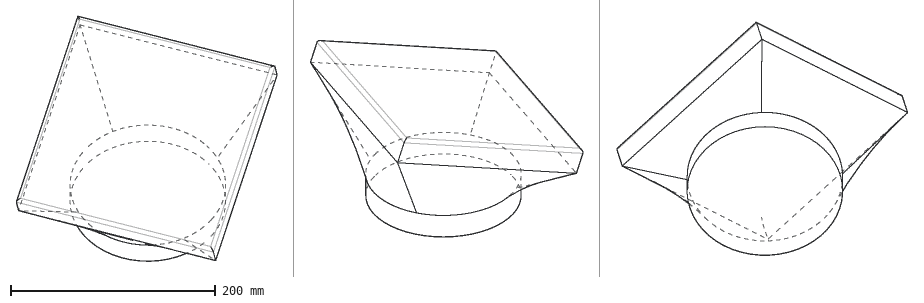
import cadquery as cq
import math

plate_side = 203.2
plate_thickness = 26.0
plate_tilt = 18.2
plate_base_height = 90.0
rim_radius = 3.7

collar_radius = 76.2
collar_height = 25.0

tilt_angle = math.radians(plate_tilt)
plate_plane = cq.Plane(
    origin=(0, 0, plate_base_height),
    xDir=(1, 0, 0),
    normal=(0, -math.sin(tilt_angle), math.cos(tilt_angle)),
)


def make_collar():
    """Plain round disc standing on the XY plane."""
    return cq.Workplane("XY").circle(collar_radius).extrude(collar_height)


def make_plate():
    """Tilted square plate with a rounded upper rim."""
    return (
        cq.Workplane(plate_plane)
        .rect(plate_side, plate_side)
        .extrude(plate_thickness)
        .faces(cq.selectors.DirectionMinMaxSelector(plate_plane.zDir, True))
        .edges()
        .fillet(rim_radius)
    )


def collar_point(degrees):
    """Point on the collar's upper edge."""
    angle = math.radians(degrees)
    return cq.Vector(collar_radius * math.cos(angle), collar_radius * math.sin(angle), collar_height)


def plate_corner(degrees):
    """Corner of the plate's underside lying in the given diagonal direction."""
    half_side = plate_side / 2
    angle = math.radians(degrees)
    return plate_plane.toWorldCoords(
        (math.copysign(half_side, math.cos(angle)), math.copysign(half_side, math.sin(angle)))
    )


def make_transition():
    """Ruled body from the collar's circle, in quarter arcs, to the plate's square underside."""
    arcs = []
    sides = []
    for start in (45, 135, 225, 315):
        middle = start + 45
        end = start + 90
        arcs.append(cq.Edge.makeThreePointArc(collar_point(start), collar_point(middle), collar_point(end)))
        sides.append(cq.Edge.makeLine(plate_corner(start), plate_corner(end)))
    circle = cq.Wire.assembleEdges(arcs)
    square = cq.Wire.assembleEdges(sides)
    return cq.Solid.makeLoft([circle, square], ruled=True)


collar = make_collar()
transition = make_transition()
plate = make_plate()

result = cq.Compound.makeCompound([collar.val(), transition, plate.val()])